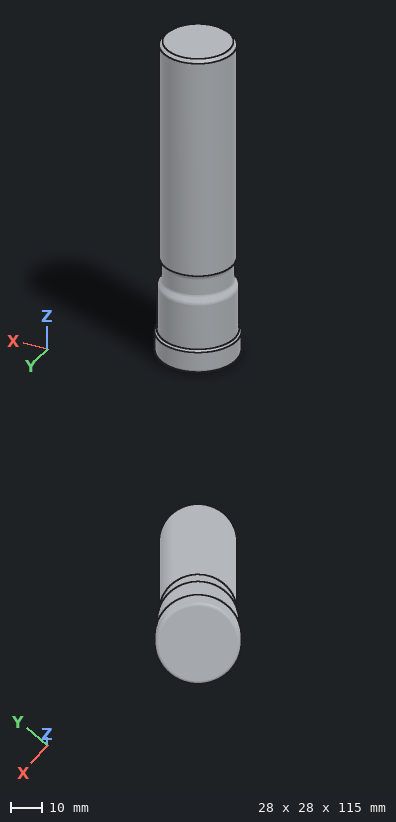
import cadquery as cq
import math

total_length = 115.0

head_radius = 28.0 / 2
head_height = 8.6
head_bottom_fillet = 1.4

shank_radius = 12.5
shank_bottom_z = 35.3
shank_top_chamfer = 1.2

collar_radius = 13.2
collar_step = head_radius - collar_radius

neck_radius = 12.0
neck_bottom_z = 27.6
neck_cone_angle = 30.0
neck_bottom_fillet = 1.4
neck_top_fillet = 2.1
collar_top_fillet = 2.1


def cone_height(large_radius, small_radius):
    """Axial length of a neck cone between two radii."""
    return (large_radius - small_radius) / math.tan(math.radians(neck_cone_angle))


collar_top_z = neck_bottom_z - cone_height(collar_radius, neck_radius)
neck_top_z = shank_bottom_z - cone_height(shank_radius, neck_radius)


def fillet_rim(body, radius, z, fillet_radius):
    """Round the circular edge of the given radius at height z."""
    margin = 0.01
    reach = radius + margin
    rim = cq.selectors.BoxSelector(
        (-reach, -reach, z - margin),
        (reach, reach, z + margin),
        boundingbox=True,
    )
    return body.edges(rim).fillet(fillet_radius)


def make_head():
    """Disc with a rounded bottom rim and a top rim bevelled down to the collar."""
    head = cq.Workplane("XY").circle(head_radius).extrude(head_height)
    head = head.faces(">Z").edges().chamfer(collar_step)
    return head.faces("<Z").edges().fillet(head_bottom_fillet)


def make_holder():
    """Collar, neck and shank turned as one piece, standing on the head."""
    outline = [
        (0, head_height),
        (-collar_radius, head_height),
        (-collar_radius, collar_top_z),
        (-neck_radius, neck_bottom_z),
        (-neck_radius, neck_top_z),
        (-shank_radius, shank_bottom_z),
        (-shank_radius, total_length - shank_top_chamfer),
        (-shank_radius + shank_top_chamfer, total_length),
        (0, total_length),
    ]
    holder = cq.Workplane("XZ").polyline(outline).close().revolve(360, (0, 0), (0, 1))
    holder = fillet_rim(holder, collar_radius, collar_top_z, collar_top_fillet)
    holder = fillet_rim(holder, neck_radius, neck_bottom_z, neck_bottom_fillet)
    return fillet_rim(holder, neck_radius, neck_top_z, neck_top_fillet)


head = make_head()
holder = make_holder()

result = cq.Compound.makeCompound([head.val(), holder.val()])